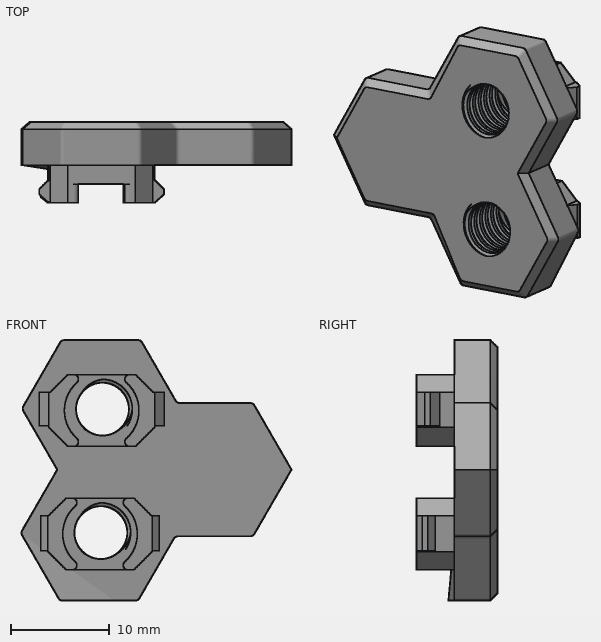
import cadquery as cq
import math


TAN_30 = math.tan(math.radians(30))
COS_30 = math.cos(math.radians(30))

OVERALL_LENGTH = 27.33
PLATE_THICKNESS = 4.37
BACK_CHAMFER = 0.75
CORNER_RADIUS = 0.5
POINT_TOLERANCE = 0.003
CORNER_TRIM = CORNER_RADIUS * (1 / COS_30 - 1)

LOWER_HALF_WIDTH = 6.85
RIGHT_HALF_WIDTH = 6.75
UPPER_HEX = (8.05, 6.18, 6.95)
LOWER_HEX = (LOWER_HALF_WIDTH / COS_30 - CORNER_TRIM, -6.4, LOWER_HALF_WIDTH)
RIGHT_HEX = (OVERALL_LENGTH - RIGHT_HALF_WIDTH / COS_30, 0, RIGHT_HALF_WIDTH)

FOLD_START = (0, -6.53)
FOLD_END = (9.37, -13.25)
WEDGE_SLOPE = 0.19
WEDGE_REACH = 4.1

UPPER_BOSS_CENTRE = (8.12, 5.99)
LOWER_BOSS_CENTRE = (7.95, -6.5)
BASE_HEIGHT = 1.95
JAW_HEIGHT = 3.83
BOSS_HALF_HEIGHT = 3.63
BOSS_FLAT_HALF_LENGTH = 3.42
JAW_BORE_RADIUS = 3.77
JAW_TIP_RADIUS = 0.46
LATCH_TIP_WIDTH = 0.55
LATCH_ROOT_DEPTH = 0.82

HOLE_DIAMETER = 5.33
HOLE_DEPTH = BASE_HEIGHT + PLATE_THICKNESS
HOLE_SHIFT = (0.08, 0.15)
THREAD_PITCH = 1.0
THREAD_DEPTH = 0.35
GROOVE_MOUTH = 0.65
GROOVE_ROOT = 0.25
GROOVE_OVERLAP = 0.15
THREAD_START_ANGLE = -45


def plate_outline(inset):
    """Rounded outline of the three hexagons, moved inwards by inset."""
    (ux, uz, uh), (lx, lz, lh), (rx, rz, rh) = [
        (x, z, half - inset) for x, z, half in (UPPER_HEX, LOWER_HEX, RIGHT_HEX)
    ]
    u_side, l_side, r_side = uh / COS_30, lh / COS_30, rh / COS_30
    u_left, l_left = ux - u_side, lx - l_side
    notch_z = (uz + lz) / 2 + (u_left - l_left) / (2 * TAN_30)
    notch = (u_left + (uz - notch_z) * TAN_30, notch_z)
    apex = (rx + r_side, rz)
    rounded = [
        (u_left, uz),
        (ux - u_side / 2, uz + uh),
        (ux + u_side / 2, uz + uh),
        (ux + u_side - abs(rz + rh - uz) * TAN_30, rz + rh),
        (rx + r_side / 2, rz + rh),
        (rx + r_side / 2, rz - rh),
        (lx + l_side - abs(rz - rh - lz) * TAN_30, rz - rh),
        (lx + l_side / 2, lz - lh),
        (lx - l_side / 2, lz - lh),
        (l_left, lz),
    ]
    points = rounded[:5] + [apex] + rounded[5:] + [notch]
    wire = cq.Wire.makePolygon([cq.Vector(x, 0, z) for x, z in points], close=True)
    corners = [
        v for v in wire.Vertices()
        if min(math.dist((v.X, v.Z), point) for point in rounded) < POINT_TOLERANCE
    ]
    return wire.fillet2D(CORNER_RADIUS, corners)


def make_plate():
    straight = PLATE_THICKNESS - BACK_CHAMFER
    front = plate_outline(0)
    body = cq.Solid.extrudeLinear(front, [], cq.Vector(0, straight, 0))
    rim = front.translate(cq.Vector(0, straight, 0))
    back = plate_outline(BACK_CHAMFER).translate(cq.Vector(0, PLATE_THICKNESS, 0))
    bevel = cq.Solid.makeLoft([rim, back], True)
    return cq.Workplane(body).union(cq.Workplane(bevel))


def make_wedge():
    """Triangular prism along the fold line, trimmed to the plate outline."""
    along = cq.Vector(FOLD_END[0] - FOLD_START[0], 0, FOLD_END[1] - FOLD_START[1])
    outward = cq.Vector(0, 1, 0).cross(along)
    section = cq.Plane(origin=(FOLD_START[0], 0, FOLD_START[1]), xDir=outward, normal=along)
    rise = WEDGE_REACH * WEDGE_SLOPE
    forward = rise if section.yDir.y < 0 else -rise
    prism = (
        cq.Workplane(section)
        .polyline([(0, 0), (WEDGE_REACH, 0), (WEDGE_REACH, forward)]).close()
        .extrude(along.Length)
    )
    limit = cq.Solid.extrudeLinear(plate_outline(0), [], cq.Vector(0, -rise, 0))
    return prism.intersect(cq.Workplane(limit))


def latch_profile(half_length, reach, tip_start):
    """Corners (x, y) of the barbed latch on the right side wall."""
    inner = half_length - LATCH_ROOT_DEPTH
    tip = half_length + reach
    return [
        (inner, 0),
        (half_length, 0),
        (half_length, -(tip_start - reach)),
        (tip, -tip_start),
        (tip, -(tip_start + LATCH_TIP_WIDTH)),
        (half_length, -JAW_HEIGHT),
        (inner, -JAW_HEIGHT),
    ]


def make_boss(half_length, latch_reach, latch_tip_start, latch_width, latch_shift):
    """Eight-sided boss with two jaws and a latch at each end, centred on X = Z = 0."""
    bevel = half_length - BOSS_FLAT_HALF_LENGTH
    boss = (
        cq.Workplane("XZ").rect(2 * half_length, 2 * BOSS_HALF_HEIGHT).extrude(JAW_HEIGHT)
        .edges("|Y").chamfer(bevel)
    )
    bore = (
        cq.Workplane("XZ", origin=(0, -BASE_HEIGHT, 0))
        .circle(JAW_BORE_RADIUS).extrude(JAW_HEIGHT - BASE_HEIGHT)
    )
    boss = boss.cut(bore)
    boss = (
        boss.edges("|Y").edges(
            cq.selectors.BoxSelector(
                (-BOSS_FLAT_HALF_LENGTH / 2, -JAW_HEIGHT, -2 * BOSS_HALF_HEIGHT),
                (BOSS_FLAT_HALF_LENGTH / 2, 0, 2 * BOSS_HALF_HEIGHT),
            )
        )
        .fillet(JAW_TIP_RADIUS)
    )
    latch = (
        cq.Workplane("XY", origin=(0, 0, latch_shift))
        .polyline(latch_profile(half_length, latch_reach, latch_tip_start)).close()
        .extrude(latch_width / 2, both=True)
    )
    return boss.union(latch).union(latch.mirror("YZ"))


def make_hole():
    """Cutter for the through hole, around X = Z = 0."""
    start = cq.Workplane("XZ", origin=(0, -BASE_HEIGHT, 0))
    return start.circle(HOLE_DIAMETER / 2).extrude(-HOLE_DEPTH)


def make_thread_groove():
    """Cutter for the helical groove, running one pitch past both ends of the hole."""
    radius = HOLE_DIAMETER / 2
    inner = radius - GROOVE_OVERLAP
    outer = radius + THREAD_DEPTH
    helix = cq.Wire.makeHelix(THREAD_PITCH, HOLE_DEPTH + 2 * THREAD_PITCH, radius)
    return (
        cq.Workplane("XZ")
        .polyline([
            (inner, -GROOVE_MOUTH / 2),
            (outer, -GROOVE_ROOT / 2),
            (outer, GROOVE_ROOT / 2),
            (inner, GROOVE_MOUTH / 2),
        ]).close()
        .sweep(cq.Workplane(helix), isFrenet=True)
        .rotate((0, 0, 0), (0, 0, 1), THREAD_START_ANGLE)
        .rotate((0, 0, 0), (1, 0, 0), -90)
        .translate((0, -BASE_HEIGHT - THREAD_PITCH, 0))
    )


upper_boss = make_boss(
    half_length=5.35, latch_reach=0.95, latch_tip_start=2.43, latch_width=3.4, latch_shift=0.16
)
lower_boss = make_boss(
    half_length=5.27, latch_reach=0.75, latch_tip_start=2.68, latch_width=3.55, latch_shift=0.05
)
hole, groove = make_hole(), make_thread_groove()

result = make_plate().union(make_wedge())
for boss, (x, z) in ((upper_boss, UPPER_BOSS_CENTRE), (lower_boss, LOWER_BOSS_CENTRE)):
    hole_place = (x + HOLE_SHIFT[0], 0, z + HOLE_SHIFT[1])
    result = result.union(boss.translate((x, 0, z)))
    result = result.cut(groove.translate(hole_place)).cut(hole.translate(hole_place))